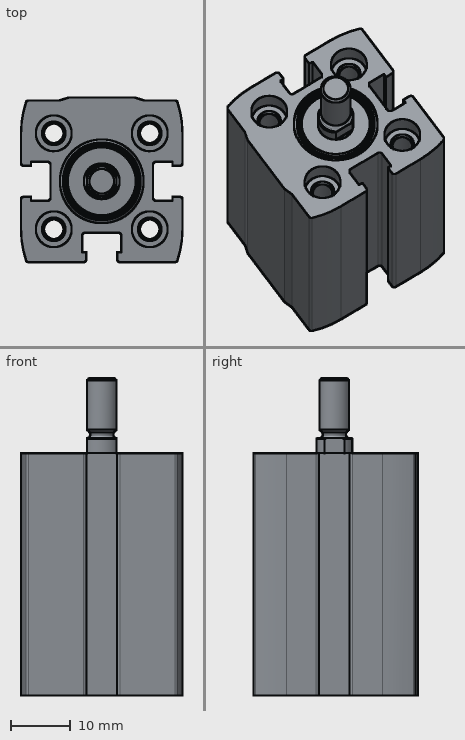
import cadquery as cq
import math

overall_height = 53.0
body_height = 40.5
body_width = 27.0
body_depth = 27.05
corner_radius = 0.5
flank_radius = 16.45

pad_height = 0.5
pad_top_width = 11.0
pad_base_width = 14.1

slot_opening = 5.15
slot_width = 6.45
slot_depth = 4.95
slot_lip = 1.7
slot_lip_radius = 0.5
slot_floor_radius = 0.5

hole_pitch = 16.0
counterbore_diameter = 6.0
counterbore_depth = 3.5
hole_chamfer_diameter = 3.9
hole_diameter = 3.25

cap_recess = 0.2
groove_outer_diameter = 14.0
groove_crest_diameter = 13.0
cap_diameter = 12.0
cap_face_diameter = 11.35
slit_outer_diameter = 12.4

rod_diameter = 6.0
rod_embedded_length = 21.2
rod_flat_width = 5.0
shoulder_height = 2.5
shoulder_chamfer = 0.15
thread_diameter = 5.0
neck_diameter = 3.9
neck_fillet = 0.5
neck_height = 0.4
tip_diameter = 4.15

cap_face_z = body_height - cap_recess
half_width = body_width / 2
half_depth = body_depth / 2
hole_offset = hole_pitch / 2
flank_rise = half_depth - hole_offset


def flank_inset(rise):
    """Inward shift of the flank arc at a distance along Y past its tangent point."""
    return flank_radius - math.sqrt(flank_radius**2 - rise**2)


def make_outline():
    """Square outline with bowed flank ends and rounded corners."""
    corner_x = half_width - flank_inset(flank_rise)
    mid_x = half_width - flank_inset(flank_rise / 2)
    mid_y = hole_offset + flank_rise / 2
    return (
        cq.Workplane("XY")
        .moveTo(half_width, -hole_offset)
        .lineTo(half_width, hole_offset)
        .threePointArc((mid_x, mid_y), (corner_x, half_depth))
        .lineTo(-corner_x, half_depth)
        .threePointArc((-mid_x, mid_y), (-half_width, hole_offset))
        .lineTo(-half_width, -hole_offset)
        .threePointArc((-mid_x, -mid_y), (-corner_x, -half_depth))
        .lineTo(corner_x, -half_depth)
        .threePointArc((mid_x, -mid_y), (half_width, -hole_offset))
        .close()
        .extrude(body_height)
        .edges("|Z")
        .edges(">Y or <Y")
        .fillet(corner_radius)
    )


def make_pad():
    """Low trapezoidal pad along the +Y face."""
    return (
        cq.Workplane("XY")
        .moveTo(-pad_base_width / 2, half_depth)
        .lineTo(-pad_top_width / 2, half_depth + pad_height)
        .lineTo(pad_top_width / 2, half_depth + pad_height)
        .lineTo(pad_base_width / 2, half_depth)
        .close()
        .extrude(body_height)
    )


def make_slot(face_offset):
    """T-slot cutter into a -Y face at the given distance from the axis, with rounded corners."""
    half_opening = slot_opening / 2
    mouth = half_opening + slot_lip_radius
    bend = slot_lip_radius * (1 - math.sqrt(0.5))
    face_y = -face_offset
    undercut = (
        cq.Workplane("XY")
        .rect(slot_width, slot_depth - slot_lip)
        .extrude(body_height)
        .edges("|Z and >Y")
        .fillet(slot_floor_radius)
        .translate((0, face_y + (slot_depth + slot_lip) / 2, 0))
    )
    throat = (
        cq.Workplane("XY")
        .moveTo(-mouth, face_y)
        .threePointArc((-half_opening - bend, face_y + bend), (-half_opening, face_y + slot_lip_radius))
        .lineTo(-half_opening, face_y + slot_lip)
        .lineTo(half_opening, face_y + slot_lip)
        .lineTo(half_opening, face_y + slot_lip_radius)
        .threePointArc((half_opening + bend, face_y + bend), (mouth, face_y))
        .close()
        .extrude(body_height)
    )
    return undercut.union(throat)


def make_mounting_hole():
    """Counterbored through hole with a chamfered counterbore floor."""
    floor_z = body_height - counterbore_depth
    chamfer = (hole_chamfer_diameter - hole_diameter) / 2
    return (
        cq.Workplane("XZ")
        .moveTo(0, 0)
        .lineTo(hole_diameter / 2, 0)
        .lineTo(hole_diameter / 2, floor_z - chamfer)
        .lineTo(hole_chamfer_diameter / 2, floor_z)
        .lineTo(counterbore_diameter / 2, floor_z)
        .lineTo(counterbore_diameter / 2, body_height)
        .lineTo(0, body_height)
        .close()
        .revolve(360, (0, 0, 0), (0, 1, 0))
    )


def make_cap_recess():
    """Shallow round recess down to the cap face, with a V groove at its wall and a slit around the cap."""
    groove_depth = (groove_outer_diameter - groove_crest_diameter) / 2
    slit_depth = (cap_diameter - cap_face_diameter) / 2
    return (
        cq.Workplane("XZ")
        .moveTo(0, body_height)
        .lineTo(groove_outer_diameter / 2, body_height)
        .lineTo(groove_outer_diameter / 2, cap_face_z - groove_depth)
        .lineTo(groove_crest_diameter / 2, cap_face_z)
        .lineTo(slit_outer_diameter / 2, cap_face_z)
        .lineTo(slit_outer_diameter / 2, cap_face_z - slit_depth)
        .lineTo(cap_diameter / 2, cap_face_z - slit_depth)
        .lineTo(cap_face_diameter / 2, cap_face_z)
        .lineTo(0, cap_face_z)
        .close()
        .revolve(360, (0, 0, 0), (0, 1, 0))
    )


def make_housing():
    housing = make_outline().union(make_pad())
    for angle, face_offset in ((-90, half_width), (0, half_depth), (90, half_width)):
        housing = housing.cut(make_slot(face_offset).rotate((0, 0, 0), (0, 0, 1), angle))
    hole = make_mounting_hole()
    for x in (-hole_offset, hole_offset):
        for y in (-hole_offset, hole_offset):
            housing = housing.cut(hole.translate((x, y, 0)))
    rod_bore = (
        cq.Workplane("XY", origin=(0, 0, body_height - rod_embedded_length))
        .circle(rod_diameter / 2)
        .extrude(rod_embedded_length)
    )
    return housing.cut(make_cap_recess()).cut(rod_bore)


def make_piston_rod():
    """Stepped rod with an undercut neck, a threaded end and two wrench flats."""
    rod_r = rod_diameter / 2
    neck_r = neck_diameter / 2
    thread_r = thread_diameter / 2
    tip_r = tip_diameter / 2
    shoulder_z = body_height + shoulder_height
    neck_bottom = shoulder_z + neck_fillet
    neck_top = neck_bottom + neck_height
    bend = neck_fillet * (1 - math.sqrt(0.5))
    rod = (
        cq.Workplane("XZ")
        .moveTo(0, body_height - rod_embedded_length)
        .lineTo(rod_r, body_height - rod_embedded_length)
        .lineTo(rod_r, shoulder_z - shoulder_chamfer)
        .lineTo(rod_r - shoulder_chamfer, shoulder_z)
        .lineTo(neck_r + neck_fillet, shoulder_z)
        .threePointArc((neck_r + bend, shoulder_z + bend), (neck_r, neck_bottom))
        .lineTo(neck_r, neck_top)
        .lineTo(thread_r, neck_top + thread_r - neck_r)
        .lineTo(thread_r, overall_height - (thread_r - tip_r))
        .lineTo(tip_r, overall_height)
        .lineTo(0, overall_height)
        .close()
        .revolve(360, (0, 0, 0), (0, 1, 0))
    )
    flat_depth = (rod_diameter - rod_flat_width) / 2
    for side in (-1, 1):
        flat = (
            cq.Workplane("XY", origin=(side * (rod_flat_width + flat_depth) / 2, 0, cap_face_z))
            .rect(flat_depth, rod_diameter)
            .extrude(shoulder_z - cap_face_z)
        )
        rod = rod.cut(flat)
    return rod


housing = make_housing()
piston_rod = make_piston_rod()

result = cq.Compound.makeCompound([housing.val(), piston_rod.val()])